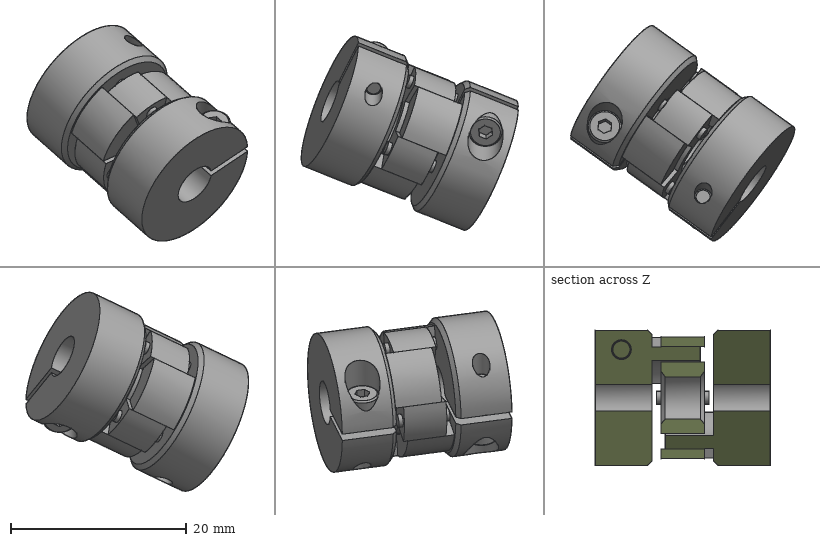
import cadquery as cq
import math


coupling_length = 20.0
hub_diameter = 16.0
hub_length = 6.5
hub_chamfer = 0.5
bore_diameter = 5.0
clamp_slot_width = 0.85

jaw_outer_radius = 7.25
jaw_inner_radius = 4.7
jaw_length = 5.5
arm_flank_angle = 15.0
arm_flank_offset = 0.45
spider_length = 5.0
spider_core_radius = 4.55
spider_hole_diameter = 6.2
spider_hole_chamfer = 0.5
arm_count = 4
pad_diameter = 1.5
pad_height = 0.5
pad_radius = 6.0

screw_y = 5.5
screw_from_end = 3.0
shank_diameter = 2.0
clearance_diameter = 2.2
head_diameter = 3.8
head_height = 2.0
counterbore_diameter = 4.0
head_seat_z = -2.0
screw_tip_z = 4.0
screw_chamfer = 0.2
hex_across_flats = 1.5
hex_depth = 1.0

hub_end_x = -coupling_length / 2
hub_face_x = hub_end_x + hub_length
screw_x = hub_end_x + screw_from_end
head_top_z = head_seat_z - head_height
hub_radius = hub_diameter / 2
flank_slope = math.tan(math.radians(arm_flank_angle))


def disc_along_x(start_x, length, radius):
    return cq.Workplane("YZ", origin=(start_x, 0, 0)).circle(radius).extrude(length)


def cylinder_along_z(start_z, end_z, diameter):
    return (cq.Workplane("XY", origin=(screw_x, screw_y, start_z))
            .circle(diameter / 2).extrude(end_z - start_z))


def make_jaw():
    """Jaw in the +Y +Z quadrant, its flanks parallel to those of the neighbouring spider arms."""
    apex = arm_flank_offset / (1 - flank_slope)
    reach = hub_radius
    narrow = arm_flank_offset + flank_slope * reach
    wedge = (cq.Workplane("YZ", origin=(hub_face_x, 0, 0))
             .polyline([(apex, apex), (reach, narrow), (reach, reach), (narrow, reach)])
             .close().extrude(jaw_length))
    ring = (disc_along_x(hub_face_x, jaw_length, jaw_outer_radius)
            .cut(disc_along_x(hub_face_x, jaw_length, jaw_inner_radius)))
    return ring.intersect(wedge)


def make_screw():
    """Socket head screw, head at the bottom, tip pointing up."""
    head = cylinder_along_z(head_top_z, head_seat_z, head_diameter).faces("<Z").chamfer(screw_chamfer)
    shank = cylinder_along_z(head_seat_z, screw_tip_z, shank_diameter).faces(">Z").chamfer(screw_chamfer)
    hex_across_corners = hex_across_flats / math.cos(math.radians(30))
    socket = (cq.Workplane("XY", origin=(screw_x, screw_y, head_top_z))
              .polygon(6, hex_across_corners).extrude(hex_depth))
    return head.union(shank).cut(socket)


def make_hub():
    """Hub at the -X end, with jaws in the +Y -Z and -Y +Z quadrants and its screw tight in the thread."""
    hub = disc_along_x(hub_end_x, hub_length, hub_radius).faces(">X").chamfer(hub_chamfer)
    hub = hub.cut(disc_along_x(hub_end_x, hub_length, bore_diameter / 2))

    clamp_slot = (cq.Workplane("XY", origin=(hub_end_x, 0, 0))
                  .box(hub_length, hub_radius, clamp_slot_width, centered=(False, False, True)))
    thread_hole = cylinder_along_z(0, hub_radius, shank_diameter)
    clearance_hole = cylinder_along_z(head_seat_z, 0, clearance_diameter)
    counterbore = cylinder_along_z(-hub_radius, head_seat_z, counterbore_diameter)
    hub = hub.cut(clamp_slot).cut(thread_hole).cut(clearance_hole).cut(counterbore)

    for turn in (90, 270):
        hub = hub.union(make_jaw().rotate((0, 0, 0), (1, 0, 0), turn))
    return hub.union(make_screw())


def make_spider_arm():
    """Arm along +Y that widens outward, with a round spacer pad on each end."""
    tip_half_width = arm_flank_offset + flank_slope * hub_radius
    flanks = (cq.Workplane("YZ", origin=(-spider_length / 2, 0, 0))
              .polyline([(0, -arm_flank_offset), (hub_radius, -tip_half_width),
                         (hub_radius, tip_half_width), (0, arm_flank_offset)])
              .close().extrude(spider_length))
    arm = flanks.intersect(disc_along_x(-spider_length / 2, spider_length, jaw_outer_radius))
    padded_length = spider_length + 2 * pad_height
    pads = (cq.Workplane("YZ", origin=(-padded_length / 2, pad_radius, 0))
            .circle(pad_diameter / 2).extrude(padded_length))
    return arm.union(pads)


def make_spider():
    spider = disc_along_x(-spider_length / 2, spider_length, spider_core_radius)
    for index in range(arm_count):
        turn = index * 360 / arm_count
        spider = spider.union(make_spider_arm().rotate((0, 0, 0), (1, 0, 0), turn))
    hole = disc_along_x(-spider_length / 2, spider_length, spider_hole_diameter / 2)
    hole_rims = cq.selectors.RadiusNthSelector(1)
    return spider.cut(hole).edges(hole_rims).chamfer(spider_hole_chamfer)


spider = make_spider()
hubs = []
for half_turn in (0, 180):
    hubs.append(make_hub().rotate((0, 0, 0), (0, 1, 0), half_turn))

result = cq.Compound.makeCompound([spider.val(), *[hub.val() for hub in hubs]])